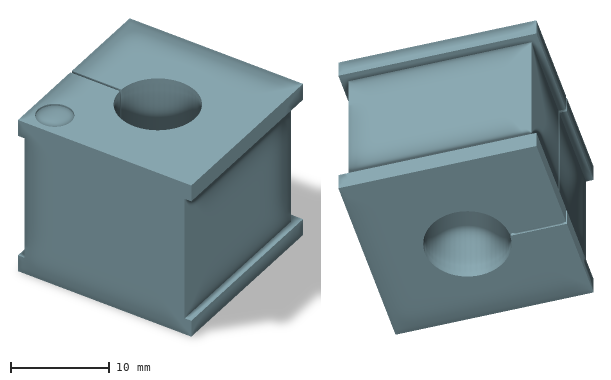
import cadquery as cq

width = 21.0
height = 19.0

flange_thickness = 2.0
side_setback = 0.8
back_setback = 1.0

bore_diameter = 9.0
bore_y = -back_setback / 2
slit_width = 0.3

mark_diameter = 4.0
mark_inset = 2.7
mark_depth = 0.2


def make_spool():
    """Square end flanges joined by a body flush with the front face."""
    block = cq.Workplane("XY").box(width, width, height, centered=(True, True, False))
    body_height = height - 2 * flange_thickness
    band = (
        cq.Workplane("XY")
        .workplane(offset=flange_thickness)
        .rect(width, width)
        .extrude(body_height)
    )
    body = (
        cq.Workplane("XY")
        .workplane(offset=flange_thickness)
        .center(0, -back_setback / 2)
        .rect(width - 2 * side_setback, width - back_setback)
        .extrude(body_height)
    )
    return block.cut(band.cut(body))


def make_bore():
    return cq.Workplane("XY").center(0, bore_y).circle(bore_diameter / 2).extrude(height)


def make_slit():
    """Full-height slit from the left face into the bore."""
    return (
        cq.Workplane("XY")
        .center(-width / 4, bore_y)
        .rect(width / 2, slit_width)
        .extrude(height)
    )


def make_mark_recess():
    mark_centre = -width / 2 + mark_inset
    return (
        cq.Workplane("XY")
        .workplane(offset=height - mark_depth)
        .center(mark_centre, mark_centre)
        .circle(mark_diameter / 2)
        .extrude(mark_depth)
    )


result = make_spool().cut(make_bore()).cut(make_slit()).cut(make_mark_recess())